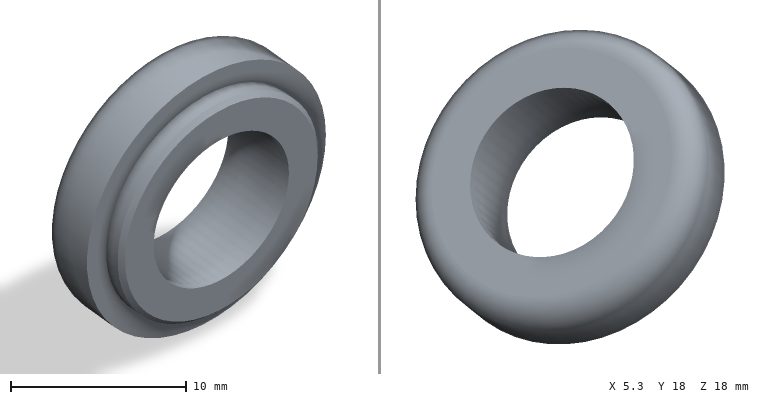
import cadquery as cq

outer_diameter = 18.0
bore_diameter = 10.19
cap_length = 4.0
cap_rounding = 1.5

insert_diameter = 15.1
insert_seat = 1.5
total_length = 5.3
chamfer_size = 0.3


def cylinder(diameter, start, end):
    """Cylinder on the X axis between two X positions."""
    return cq.Workplane("YZ", origin=(start, 0, 0)).circle(diameter / 2).extrude(end - start)


def make_cap():
    """Rounded outer ring with a recess at the back for the insert."""
    body = cylinder(outer_diameter, 0, cap_length).faces("<X").edges().fillet(cap_rounding)
    bore = cylinder(bore_diameter, 0, cap_length)
    recess = cylinder(insert_diameter, insert_seat, cap_length)
    return body.cut(bore).cut(recess)


def make_insert():
    """Plain ring seated in the cap, with a chamfered rim on its free end."""
    radius = insert_diameter / 2
    bore_radius = bore_diameter / 2
    return (
        cq.Workplane("XY")
        .moveTo(insert_seat, bore_radius)
        .lineTo(total_length, bore_radius)
        .lineTo(total_length, radius - chamfer_size)
        .lineTo(total_length - chamfer_size, radius)
        .lineTo(insert_seat, radius)
        .close()
        .revolve(360, (0, 0, 0), (1, 0, 0))
    )


cap = make_cap()
insert = make_insert()
result = cq.Compound.makeCompound([cap.val(), insert.val()])